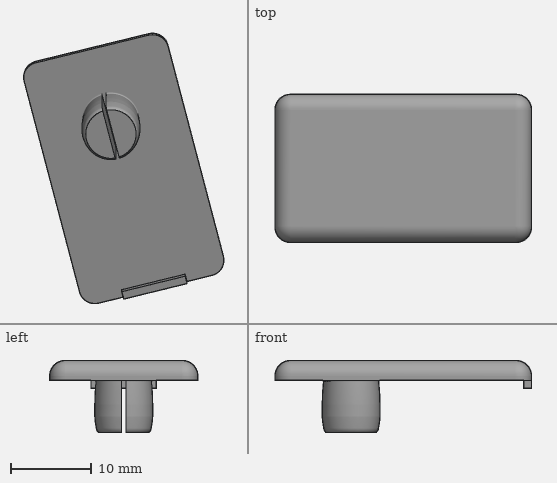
import cadquery as cq

plate_length = 32.0
plate_width = 18.5
plate_thickness = 2.5
edge_radius = 2.0

peg_x = -6.5
peg_length = 6.5
neck_radius = 3.45
barrel_radius = 3.6
bulge_top_depth = 3.0
bulge_bottom_depth = 4.5
tip_round = 0.5
tip_radius = 3.42
tip_face_radius = 3.15
root_flare = 0.15
slot_width = 0.5

tab_thickness = 1.0
tab_width = 8.15
tab_depth = 1.0


def make_plate():
    """Rectangular plate with round corners and a rounded upper edge."""
    blank = cq.Workplane("XY").box(
        plate_length, plate_width, plate_thickness, centered=(True, True, False)
    )
    return blank.edges("|Z").fillet(edge_radius).faces(">Z").edges().fillet(edge_radius)


def make_peg():
    """Barrel peg, revolved about its axis and split along X by a slot."""
    tip_start = peg_length - tip_round
    barrel = (
        cq.Workplane("XZ")
        .lineTo(neck_radius + root_flare, 0)
        .radiusArc((neck_radius, -root_flare), -root_flare)
        .spline(
            [(barrel_radius, -bulge_top_depth)],
            tangents=[(barrel_radius - neck_radius, -bulge_top_depth / 2), (0, -1)],
            includeCurrent=True,
        )
        .lineTo(barrel_radius, -bulge_bottom_depth)
        .spline(
            [(tip_radius, -tip_start)],
            tangents=[(0, -1), (tip_radius - barrel_radius, bulge_bottom_depth - tip_start)],
            includeCurrent=True,
        )
        .tangentArcPoint((tip_face_radius, -peg_length), relative=False)
        .lineTo(0, -peg_length)
        .close()
        .revolve(360, (0, 0, 0), (0, 1, 0))
    )
    slot = cq.Workplane("XY").box(
        plate_length, slot_width, peg_length, centered=(True, True, False)
    ).translate((0, 0, -peg_length))
    return barrel.cut(slot).translate((peg_x, 0, 0))


def make_tab():
    """Flat tab flush with the +X end of the plate."""
    return (
        cq.Workplane("XY")
        .box(tab_thickness, tab_width, tab_depth, centered=(True, True, False))
        .translate(((plate_length - tab_thickness) / 2, 0, -tab_depth))
    )


result = make_plate().union(make_peg()).union(make_tab())